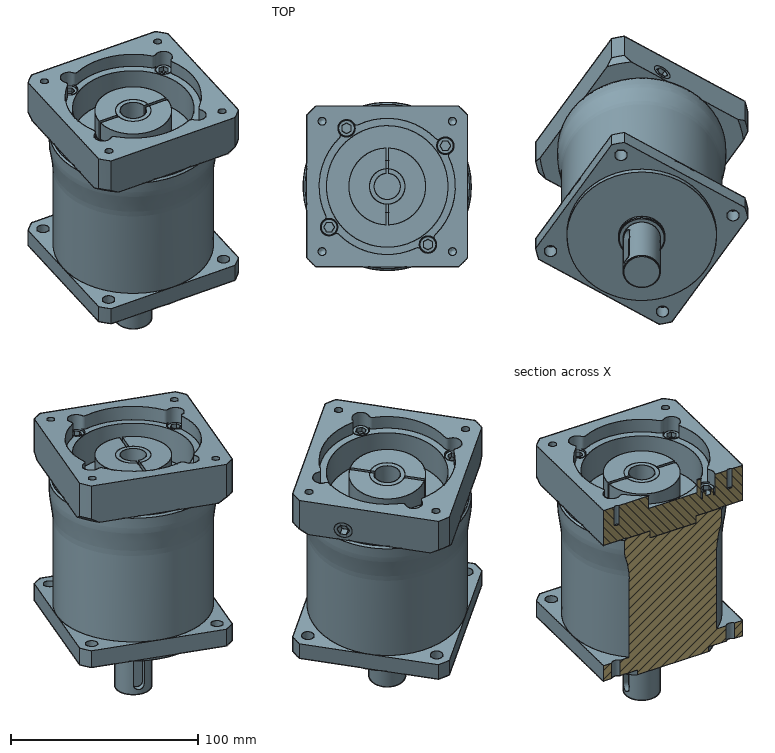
import cadquery as cq
import math


plate_width = 86.1
plate_corner_diameter = 115.0

top_z = 150.5
collar_bottom_z = 35.0
pilot_bottom_z = 37.0
flange_bottom_z = 40.0
flange_top_z = 50.3
taper_bottom_z = 104.0
taper_top_z = 118.6
gearhead_top_z = 127.6
cavity_floor_z = 123.1

body_diameter = 86.0
head_diameter = 90.0
head_chamfer = 1.0
taper_round = 24.1
pilot_diameter = 80.0
collar_diameter = 25.0
shaft_diameter = 20.0
edge_chamfer = 0.5
keyway_width = 6.0
keyway_length = 30.0
keyway_depth = 3.5
keyway_tip_gap = 3.2
flange_hole_spacing = 70.7
flange_hole_diameter = 6.6

spigot_diameter = 72.2
cavity_diameter = 65.0
opening_diameter = 72.8
shelf_z = top_z - 8.1
corner_bevel = 2.9
motor_hole_spacing = 69.7
motor_hole_diameter = 4.2
motor_hole_depth = 12.0
drill_point_angle = 118.0

screw_circle_radius = 38.0
screw_first_angle = 35.0
screw_count = 4
screw_well_diameter = 9.3
screw_well_depth = 5.0
screw_head_diameter = 8.5
screw_head_recess = 0.8
screw_hex_flats = 5.0
screw_hex_depth = 3.0
notch_round = 1.8

hub_top_z = top_z - 9.6
clamp_bottom_z = 128.0
clamp_diameter = 41.1
neck_diameter = 28.0
hub_slot_width = 1.5
hub_slot_floor_z = 124.9
bushing_diameter = 19.0
bushing_bore = 14.0

plug_y = 14.1
plug_z = top_z - 16.1
plug_diameter = 10.0
plug_length = 7.5
plug_hex_flats = 5.9
plug_hex_depth = 4.5

hex_corner_ratio = 2 / math.sqrt(3)


def cylinder(diameter, bottom_z, upper_z):
    """Solid cylinder on the Z axis between two levels."""
    return cq.Workplane("XY", origin=(0, 0, bottom_z)).circle(diameter / 2).extrude(upper_z - bottom_z)


def square_plate(bottom_z, upper_z):
    """Square plate whose four corners are turned down to a common diameter."""
    height = upper_z - bottom_z
    square = cq.Workplane("XY", origin=(0, 0, bottom_z)).rect(plate_width, plate_width).extrude(height)
    return square.intersect(cylinder(plate_corner_diameter, bottom_z, upper_z))


def square_pattern(spacing, z):
    """Workplane with one point near each plate corner."""
    return cq.Workplane("XY", origin=(0, 0, z)).rect(spacing, spacing, forConstruction=True).vertices()


def screw_pattern(z):
    """Workplane with one point at each adapter screw."""
    plane = cq.Workplane("XY", origin=(0, 0, z))
    return plane.polarArray(screw_circle_radius, screw_first_angle, 360, screw_count)


def gearhead_housing():
    """Turned housing that widens through a rounded taper to a head recessed for the adapter."""
    body_radius = body_diameter / 2
    head_radius = head_diameter / 2
    profile = (
        cq.Workplane("XZ")
        .moveTo(0, flange_top_z)
        .lineTo(body_radius, flange_top_z)
        .lineTo(body_radius, taper_bottom_z)
        .lineTo(head_radius, taper_top_z)
        .lineTo(head_radius, gearhead_top_z - head_chamfer)
        .lineTo(head_radius - head_chamfer, gearhead_top_z)
        .lineTo(0, gearhead_top_z)
        .close()
    )
    housing = profile.revolve(360, (0, 0), (0, 1))
    edge_margin = 0.2
    taper_ends = cq.selectors.BoxSelector(
        (-head_diameter, -head_diameter, taper_bottom_z - edge_margin),
        (head_diameter, head_diameter, taper_top_z + edge_margin),
        boundingbox=True,
    )
    housing = housing.edges("%CIRCLE").edges(taper_ends).fillet(taper_round)
    return housing.cut(cylinder(spigot_diameter, cavity_floor_z, gearhead_top_z))


def output_flange():
    """Square mounting flange with its pilot and four through holes."""
    holes = square_pattern(flange_hole_spacing, flange_bottom_z)
    holes = holes.circle(flange_hole_diameter / 2).extrude(flange_top_z - flange_bottom_z)
    plate = square_plate(flange_bottom_z, flange_top_z).cut(holes)
    return plate.union(cylinder(pilot_diameter, pilot_bottom_z, flange_bottom_z))


def output_shaft():
    """Output shaft with its collar, chamfered lower edges and a keyway on the +Y side."""
    shaft = cylinder(shaft_diameter, 0, collar_bottom_z).faces("<Z").chamfer(edge_chamfer)
    collar = cylinder(collar_diameter, collar_bottom_z, pilot_bottom_z).faces("<Z").chamfer(edge_chamfer)
    keyway_center_z = keyway_tip_gap + keyway_length / 2
    keyway = (
        cq.Workplane("XZ", origin=(0, shaft_diameter / 2, keyway_center_z))
        .slot2D(keyway_length, keyway_width, 90)
        .extrude(keyway_depth)
    )
    return collar.union(shaft.cut(keyway))


def make_gearhead():
    """Housing, output flange and output shaft as one body."""
    return gearhead_housing().union(output_flange()).union(output_shaft())


def motor_opening():
    """Round opening with a filleted notch over each screw."""
    outline = (
        cq.Sketch()
        .circle(opening_diameter / 2)
        .parray(screw_circle_radius, screw_first_angle, 360, screw_count)
        .circle(screw_well_diameter / 2)
        .reset()
        .clean()
        .vertices()
        .fillet(notch_round)
    )
    return cq.Workplane("XY", origin=(0, 0, shelf_z)).placeSketch(outline).extrude(top_z - shelf_z)


def first_screw(z):
    """Workplane at the first adapter screw, with its axes along X and Y."""
    angle = math.radians(screw_first_angle)
    x = screw_circle_radius * math.cos(angle)
    y = screw_circle_radius * math.sin(angle)
    return cq.Workplane("XY", origin=(x, y, z))


def screw_heads():
    """Socket screw heads standing in their wells, slightly below the shelf."""
    well_floor_z = shelf_z - screw_well_depth
    head_top_z = shelf_z - screw_head_recess
    head = first_screw(well_floor_z).circle(screw_head_diameter / 2).extrude(head_top_z - well_floor_z)
    socket = (
        first_screw(head_top_z - screw_hex_depth)
        .polygon(6, screw_hex_flats * hex_corner_ratio)
        .extrude(screw_hex_depth)
    )
    head = head.cut(socket)
    heads = cq.Workplane("XY")
    for index in range(screw_count):
        turned_head = head.rotate((0, 0, 0), (0, 0, 1), index * 360 / screw_count)
        heads = heads.add(turned_head)
    return heads.combine()


def motor_holes():
    """Blind drilled holes with conical bottoms."""
    radius = motor_hole_diameter / 2
    point_depth = radius / math.tan(math.radians(drill_point_angle / 2))
    drill = (
        cq.Workplane("XZ")
        .moveTo(0, 0)
        .lineTo(radius, 0)
        .lineTo(radius, -motor_hole_depth)
        .lineTo(0, -motor_hole_depth - point_depth)
        .close()
        .revolve(360, (0, 0), (0, 1))
        .val()
    )
    return square_pattern(motor_hole_spacing, top_z).eachpoint(lambda place: drill.moved(place))


def plug_face():
    """Workplane centered on the plug, on the -X face."""
    return cq.Workplane("YZ", origin=(-plate_width / 2, plug_y, plug_z))


def plug_blank():
    """Cylinder filling the plug hole, from the -X face inward."""
    return plug_face().circle(plug_diameter / 2).extrude(plug_length)


def make_adapter():
    """Bored square plate with a spigot that centers it in the gearhead."""
    blank = square_plate(gearhead_top_z, top_z)
    turned = cylinder(plate_corner_diameter, gearhead_top_z, top_z).faces("<Z").chamfer(corner_bevel)
    screw_wells = screw_pattern(shelf_z - screw_well_depth)
    screw_wells = screw_wells.circle(screw_well_diameter / 2).extrude(screw_well_depth)
    return (
        blank.intersect(turned)
        .union(cylinder(spigot_diameter, cavity_floor_z, gearhead_top_z))
        .cut(screw_wells)
        .union(screw_heads())
        .cut(cylinder(cavity_diameter, cavity_floor_z, shelf_z))
        .cut(motor_opening())
        .cut(motor_holes())
        .cut(plug_blank())
    )


def make_hub():
    """Clamping ring on a narrower neck, bored for the bushing and split across."""
    clamp = cylinder(clamp_diameter, clamp_bottom_z, hub_top_z)
    neck = cylinder(neck_diameter, cavity_floor_z, clamp_bottom_z)
    slot_height = hub_top_z - hub_slot_floor_z
    slot = cq.Workplane("XY", origin=(0, 0, hub_slot_floor_z))
    slot = slot.rect(hub_slot_width, clamp_diameter).extrude(slot_height)
    return clamp.union(neck).cut(cylinder(bushing_diameter, cavity_floor_z, hub_top_z)).cut(slot)


def make_bushing():
    """Sleeve slit along its whole length on the +Y side."""
    sleeve = cylinder(bushing_diameter, cavity_floor_z, hub_top_z)
    sleeve = sleeve.cut(cylinder(bushing_bore, cavity_floor_z, hub_top_z))
    slit = (
        cq.Workplane("XY", origin=(0, bushing_diameter / 2, cavity_floor_z))
        .rect(hub_slot_width, bushing_diameter)
        .extrude(hub_top_z - cavity_floor_z)
    )
    return sleeve.cut(slit)


def make_plug():
    """Plug flush with the -X face, with a hexagon socket."""
    socket = plug_face().polygon(6, plug_hex_flats * hex_corner_ratio).extrude(plug_hex_depth)
    return plug_blank().cut(socket)


gearhead = make_gearhead()
adapter = make_adapter()
hub = make_hub()
bushing = make_bushing()
plug = make_plug()

result = cq.Compound.makeCompound([gearhead.val(), adapter.val(), hub.val(), bushing.val(), plug.val()])